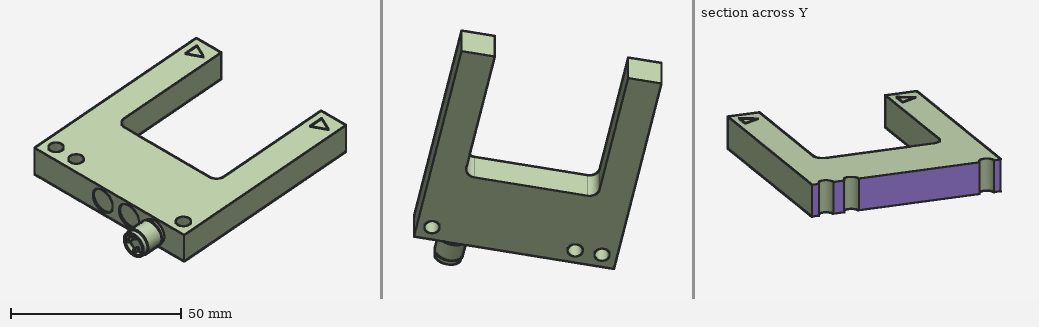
import cadquery as cq

body_width = 60.0
body_length = 70.0
body_height = 10.0
arm_width = 10.0
slot_depth = 45.0
slot_corner_radius = 3.0

face_axis_z = 5.05

hole_diameter = 4.5
hole_edge_distance = 4.5
hole_pair_spacing = 8.05

window_diameter = 8.0
window_depth = 0.5
window_positions_x = (27.4, 37.9)

connector_x = 48.05
connector_length = 78.9 - body_length
neck_diameter = 8.0
collar_diameter = 8.6
collar_offset = 1.35
collar_length = 5.9
socket_diameter = 6.9
socket_depth = 1.8
pin_diameter = 1.0
pin_length = 1.65
pin_circle_radius = 2.5

arrow_size = 5.05
arrow_side_offset = 2.5
arrow_tip_offset = 2.45
arrow_depth = 0.2


def cylinder_along_y(x, z, start_y, diameter, length):
    """Cylinder that starts at start_y and runs towards +Y."""
    base = cq.Workplane(cq.Plane((x, start_y, z), (1, 0, 0), (0, 1, 0)))
    return base.circle(diameter / 2).extrude(length)


def fork_body():
    block = cq.Workplane("XY").box(body_width, body_length, body_height, centered=False)
    slot = (
        cq.Workplane("XY")
        .box(body_width - 2 * arm_width, slot_depth, body_height, centered=False)
        .edges("|Z and <Y")
        .fillet(slot_corner_radius)
        .translate((arm_width, body_length - slot_depth, 0))
    )
    return block.cut(slot)


def mounting_holes():
    positions_x = (
        hole_edge_distance,
        hole_edge_distance + hole_pair_spacing,
        body_width - hole_edge_distance,
    )
    points = [(x, hole_edge_distance) for x in positions_x]
    return cq.Workplane("XY").pushPoints(points).circle(hole_diameter / 2).extrude(body_height)


def arrow_engraving(arm_x):
    left = arm_x + arrow_side_offset
    top = body_length - arrow_tip_offset
    corners = [
        (left, top),
        (left, top - arrow_size),
        (left + arrow_size, top - arrow_size / 2),
    ]
    return cq.Workplane("XY", origin=(0, 0, body_height)).polyline(corners).close().extrude(-arrow_depth)


def connector():
    neck = cylinder_along_y(connector_x, face_axis_z, -connector_length, neck_diameter, connector_length)
    collar_start = -collar_offset - collar_length
    collar = cylinder_along_y(connector_x, face_axis_z, collar_start, collar_diameter, collar_length)
    socket = cylinder_along_y(connector_x, face_axis_z, -connector_length, socket_diameter, socket_depth)
    plug = neck.union(collar).cut(socket)

    pin_start = socket_depth - connector_length - pin_length
    for step_x, step_z in ((0, 1), (-1, 0), (0, -1)):
        pin_x = connector_x + step_x * pin_circle_radius
        pin_z = face_axis_z + step_z * pin_circle_radius
        plug = plug.union(cylinder_along_y(pin_x, pin_z, pin_start, pin_diameter, pin_length))
    return plug


result = fork_body().cut(mounting_holes())

for window_x in window_positions_x:
    result = result.cut(cylinder_along_y(window_x, face_axis_z, 0, window_diameter, window_depth))

for arm_x in (0, body_width - arm_width):
    result = result.cut(arrow_engraving(arm_x))

result = result.union(connector())